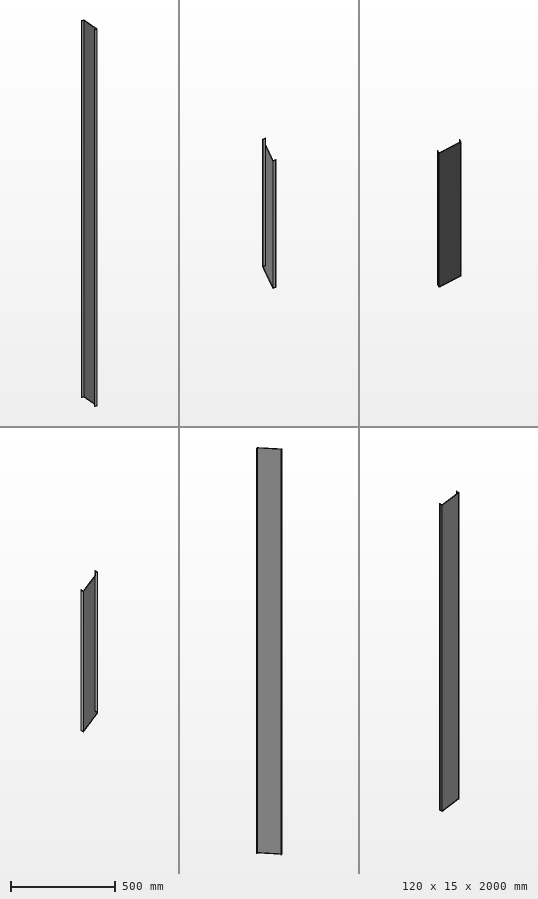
import cadquery as cq

width = 120.0
depth = 15.0
length = 2000.0
wall = 1.0

outer = cq.Workplane("XY").box(width, depth, length)

recess = (
    cq.Workplane("XY")
    .box(width - 2 * wall, depth - wall, length)
    .translate((0, -wall / 2, 0))
)

result = outer.cut(recess)